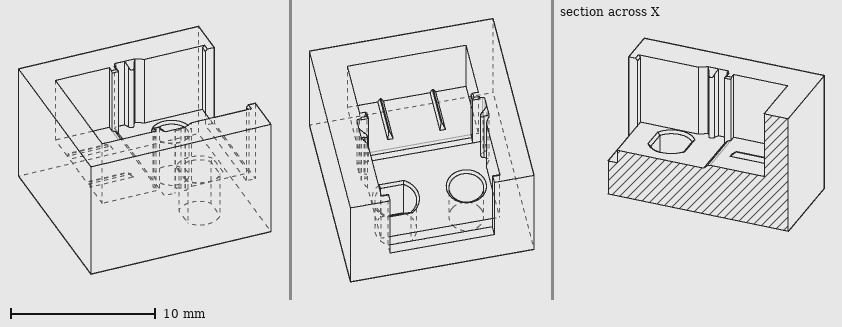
import cadquery as cq

block_width = 13.0
block_length = 13.5
block_height = 9.0
back_y = block_length / 2

floor_depth = 5.33
floor_z = block_height - floor_depth
pocket_half_width = 4.2
pocket_back_y = 6.08
pocket_front_y = -0.42
widened_half_width = 4.52
widening_start_y = 1.74
widening_end_y = 1.16
pocket_corner_radius = 0.14

opening_half_width = 3.69
opening_drop = 1.0
lip_chamfer = 0.16

ramp_rise = 0.27
ramp_length = 0.27
crest_rise = 0.07
front_floor_z = floor_z + ramp_rise + crest_rise
rib_front_y = -0.9
front_pocket_front_y = -4.94
rib_chamfer = 0.12

hole_offset_x = 2.5
hole_y = 3.05
hole_diameter = 2.4
flatted_hole_diameter = 2.9
hole_chamfer = 0.19

bump_y = 0.74
bump_half_width = 0.38
bump_projection = 0.51
bump_nose_half_width = 0.2
bump_nose_length = 0.2

ridge_xs = (-1.85, 1.85)
ridge_width = 0.39
ridge_crest_width = 0.07
ridge_height = 0.34
ridge_back_y = -1.7
ridge_end_slope = 0.38


def box(x0, x1, y0, y1, z0, z1):
    return cq.Workplane("XY").box(x1 - x0, y1 - y0, z1 - z0, centered=False).translate((x0, y0, z0))


def extrude_along_x(points, x0, x1):
    """Extrude a (Y, Z) outline from x0 to x1."""
    return cq.Workplane("YZ").polyline(points).close().extrude(x1 - x0).translate((x0, 0, 0))


def extrude_along_y(points, y0, y1):
    """Extrude an (X, Z) outline from y0 to y1."""
    return cq.Workplane("XZ").polyline(points).close().extrude(y0 - y1).translate((0, y0, 0))


def mirrored_pair(solid):
    return solid.union(solid.mirror("YZ"))


def main_pocket():
    right_side = [
        (pocket_half_width, pocket_back_y),
        (pocket_half_width, widening_start_y),
        (widened_half_width, widening_end_y),
        (widened_half_width, pocket_front_y),
    ]
    left_side = [(-x, y) for x, y in reversed(right_side)]
    pocket = cq.Workplane("XY").workplane(offset=floor_z)
    pocket = pocket.polyline(right_side + left_side).close().extrude(floor_depth)
    return pocket.edges("|Z and <Y").fillet(pocket_corner_radius)


def back_opening():
    slot = box(
        -opening_half_width, opening_half_width, pocket_back_y, back_y, floor_z - opening_drop, block_height
    )
    lead_in = extrude_along_x(
        [
            (pocket_back_y, block_height - lip_chamfer),
            (pocket_back_y + lip_chamfer, block_height),
            (pocket_back_y, block_height),
        ],
        -pocket_half_width,
        pocket_half_width,
    )
    return slot.union(lead_in)


def front_pocket():
    return box(
        -pocket_half_width, pocket_half_width, front_pocket_front_y, rib_front_y, front_floor_z, block_height
    )


def gap_between_ribs():
    """Passage over the ramp, with chamfers on the top edges of both ribs."""
    ramp_end_y = pocket_front_y - ramp_length
    gap = extrude_along_x(
        [
            (pocket_front_y, block_height),
            (pocket_front_y, floor_z),
            (ramp_end_y, floor_z + ramp_rise),
            (rib_front_y, front_floor_z),
            (rib_front_y, block_height),
        ],
        -opening_half_width,
        opening_half_width,
    )
    tip_chamfers = extrude_along_y(
        [
            (opening_half_width, block_height - rib_chamfer),
            (opening_half_width + rib_chamfer, block_height),
            (-opening_half_width - rib_chamfer, block_height),
            (-opening_half_width, block_height - rib_chamfer),
        ],
        rib_front_y,
        pocket_front_y,
    )
    edge_chamfers = extrude_along_x(
        [
            (pocket_front_y, block_height - rib_chamfer),
            (pocket_front_y - rib_chamfer, block_height),
            (pocket_front_y, block_height),
        ],
        -pocket_half_width,
        pocket_half_width,
    )
    return gap.union(tip_chamfers).union(edge_chamfers)


def pin_hole(x, diameter):
    """Through hole trimmed to the pin width in Y, with a chamfered mouth at the floor."""
    hole = cq.Workplane("XY").circle(diameter / 2).extrude(floor_z)
    mouth = cq.Solid.makeCone(
        diameter / 2, diameter / 2 + hole_chamfer, hole_chamfer, pnt=cq.Vector(0, 0, floor_z - hole_chamfer)
    )
    half_width = hole_diameter / 2
    flats = extrude_along_x(
        [
            (-half_width, 0),
            (half_width, 0),
            (half_width, floor_z - hole_chamfer),
            (half_width + hole_chamfer, floor_z),
            (-half_width - hole_chamfer, floor_z),
            (-half_width, floor_z - hole_chamfer),
        ],
        -diameter,
        diameter,
    )
    hole = hole.union(cq.Workplane(mouth))
    if diameter > hole_diameter:
        hole = hole.intersect(flats)
    return hole.translate((x, hole_y, 0))


def detent_bumps():
    """Round-nosed vertical bumps whose tops slope down at 45 degrees into the pocket."""
    tip_x = widened_half_width - bump_projection
    nose_x = tip_x + bump_nose_length
    bump = (
        cq.Workplane("XY")
        .workplane(offset=floor_z)
        .moveTo(widened_half_width, bump_y + bump_half_width)
        .lineTo(nose_x, bump_y + bump_nose_half_width)
        .threePointArc((tip_x, bump_y), (nose_x, bump_y - bump_nose_half_width))
        .lineTo(widened_half_width, bump_y - bump_half_width)
        .close()
        .extrude(floor_depth)
    )
    sloped_top = extrude_along_y(
        [
            (tip_x, block_height - bump_projection),
            (widened_half_width, block_height),
            (tip_x, block_height),
        ],
        bump_y - bump_half_width,
        bump_y + bump_half_width,
    )
    return mirrored_pair(bump.cut(sloped_top))


def floor_ridge(x):
    """Narrow-crested ridge running to the front wall, with a sloped free end."""
    top_z = front_floor_z + ridge_height
    ridge = extrude_along_y(
        [
            (x - ridge_width / 2, front_floor_z),
            (x + ridge_width / 2, front_floor_z),
            (x + ridge_crest_width / 2, top_z),
            (x - ridge_crest_width / 2, top_z),
        ],
        front_pocket_front_y,
        ridge_back_y,
    )
    end_slope = extrude_along_x(
        [
            (ridge_back_y, front_floor_z),
            (ridge_back_y, top_z),
            (ridge_back_y - ridge_end_slope, top_z),
        ],
        x - ridge_width / 2,
        x + ridge_width / 2,
    )
    return ridge.cut(end_slope)


result = box(-block_width / 2, block_width / 2, -back_y, back_y, 0, block_height)
result = result.cut(main_pocket()).cut(back_opening())
result = result.cut(front_pocket()).cut(gap_between_ribs())
result = result.cut(pin_hole(-hole_offset_x, hole_diameter))
result = result.cut(pin_hole(hole_offset_x, flatted_hole_diameter))
result = result.union(detent_bumps())
for ridge_x in ridge_xs:
    result = result.union(floor_ridge(ridge_x))